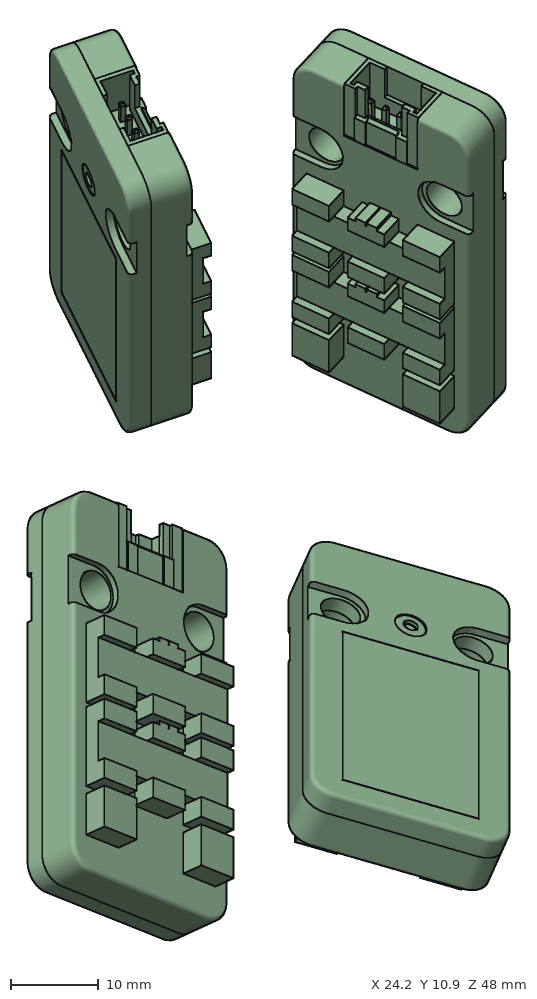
import cadquery as cq

HEIGHT = 48.0
WIDTH = 24.25
DEPTH = 7.95
SPLIT_Y = 2.8
CORNER_RADIUS = 3.0
EDGE_FILLET = 0.55

RECESS_X = 8.15
LEFT_HOLE_X = -8.15
RIGHT_HOLE_X = 7.85
MOUNT_Z = 12.2
MOUNT_DIAMETER = 4.8
RECESS_RADIUS = 3.0
FRONT_RECESS_DEPTH = 0.95
BACK_RECESS_DEPTH = 0.8

HEAD_RADIUS = 1.9
HEAD_FILLET = 0.35
HEAD_LENGTH = 2.0
SHANK_RADIUS = 1.0
SHANK_END_Y = 5.75
SOCKET_RADIUS = 0.85
SOCKET_DEPTH = 0.5
SOCKET_CONE_RADIUS = 0.7
SOCKET_CONE_DEPTH = 0.7

LABEL_WIDTH = 16.5
LABEL_HEIGHT = 28.05
LABEL_CENTER_Z = -6.65
LABEL_THICKNESS = 0.25
LABEL_RECESS_DEPTH = 0.3

BLOCK_RISE = 3.0
CHANNEL_RISE = 2.0
BLOCK_OUTER_X = 10.1
BLOCK_INNER_X = 5.05
CENTER_HALF_WIDTH = 2.5
RIB_HALF_WIDTH = 1.45
RIB_STEP = 0.5
RIB_GAP = 0.15
TILE_HEIGHT = 10.0
TILE_CHANNEL = 5.0
TILE_CENTERS_Z = [2.05, -8.5]
LOW_BLOCK_HEIGHT = 5.2
LOW_BLOCK_CENTER_Z = -17.05

TOP_Z = HEIGHT / 2
OPENING_HALF_WIDTH = 5.05
CONNECTOR_DEPTH = 8.15
CONNECTOR_BACK_Y = 7.8
CAVITY_HALF_WIDTH = 4.5
CAVITY_FRONT_Y = 3.3
CAVITY_BACK_Y = 6.7
CAVITY_DEPTH = 6.7
KEY_SLOT_WIDTH = 0.5
KEY_SLOT_BACK_Y = 7.35
NOTCH_HALF_WIDTH = 2.5
NOTCH_DEPTH = 4.5
STEP_HALF_WIDTH = 3.55
RAMP_HALF_WIDTH = 2.05
RAMP_HEIGHT = 0.4

PIN_PITCH = 2.0
PIN_COUNT = 4
PIN_WIDTH = 0.6
PIN_Y = 5.4
PIN_TOP_DROP = 3.35
PIN_TIP_WIDTH = 0.2
PIN_TIP_LENGTH = 0.4


def box(x_range, y_range, z_range):
    """A box given by its limits along each axis."""
    (x0, x1), (y0, y1), (z0, z1) = x_range, y_range, z_range
    return cq.Workplane("XY").box(x1 - x0, y1 - y0, z1 - z0, centered=False).translate((x0, y0, z0))


def centered_box(half_width, y_range, z_range):
    """A box that is symmetric about X = 0."""
    return box((-half_width, half_width), y_range, z_range)


def span(center, length):
    return (center - length / 2, center + length / 2)


def cylinder(radius, y_range, x=0.0, z=MOUNT_Z):
    """A cylinder along Y."""
    y0, y1 = y_range
    return cq.Workplane(cq.Solid.makeCylinder(radius, y1 - y0, cq.Vector(x, y0, z), cq.Vector(0, 1, 0)))


def rounded_slab(y_range):
    """A layer of the housing with its four rounded corners."""
    slab = centered_box(WIDTH / 2, y_range, (-HEIGHT / 2, HEIGHT / 2))
    return slab.edges("|Y").fillet(CORNER_RADIUS)


def side_recess(side, y_range):
    """Recess round one mounting hole, running out through the long side."""
    x_round = side * RECESS_X
    x_range = sorted((x_round, side * WIDTH / 2))
    channel = box(x_range, y_range, span(MOUNT_Z, 2 * RECESS_RADIUS))
    return channel.union(cylinder(RECESS_RADIUS, y_range, x_round))


def cut_mountings(cover, recess_range):
    for side in (-1, 1):
        cover = cover.cut(side_recess(side, recess_range))
    for x_hole in (LEFT_HOLE_X, RIGHT_HOLE_X):
        cover = cover.cut(cylinder(MOUNT_DIAMETER / 2, (0, DEPTH), x_hole))
    return cover


def screw_space():
    """The room that the screw takes up, before its head is rounded and its socket cut."""
    return cylinder(HEAD_RADIUS, (0, HEAD_LENGTH)).union(cylinder(SHANK_RADIUS, (0, SHANK_END_Y)))


def label_box(y_range):
    return centered_box(LABEL_WIDTH / 2, y_range, span(LABEL_CENTER_Z, LABEL_HEIGHT))


def make_front_cover():
    cover = rounded_slab((0, SPLIT_Y)).faces("<Y").edges().fillet(EDGE_FILLET)
    cover = cut_mountings(cover, (0, FRONT_RECESS_DEPTH))
    return cover.cut(screw_space()).cut(label_box((0, LABEL_RECESS_DEPTH)))


def make_side_column(side):
    """The tall blocks along one side of the back face: two notched tiles and a short block."""
    x_range = sorted((side * BLOCK_INNER_X, side * BLOCK_OUTER_X))
    tall = (DEPTH, DEPTH + BLOCK_RISE)
    column = box(x_range, tall, span(LOW_BLOCK_CENTER_Z, LOW_BLOCK_HEIGHT))
    for z in TILE_CENTERS_Z:
        column = column.union(box(x_range, tall, span(z, TILE_HEIGHT)))
    return column


def make_back_blocks():
    """All raised blocks: side columns, middle blocks with two ribs, and low bridges between them."""
    tall = (DEPTH, DEPTH + BLOCK_RISE)
    blocks = make_side_column(-1).union(make_side_column(1))
    for z in TILE_CENTERS_Z:
        z_bottom, z_top = span(z, TILE_HEIGHT)
        blocks = blocks.union(centered_box(CENTER_HALF_WIDTH, tall, (z_bottom, z_top - RIB_STEP)))
        blocks = blocks.union(centered_box(RIB_HALF_WIDTH, tall, (z_bottom, z_top)))
        blocks = blocks.cut(centered_box(RIB_GAP / 2, tall, (z_top - RIB_STEP, z_top)))
    for z in TILE_CENTERS_Z:
        channel = span(z, TILE_CHANNEL)
        blocks = blocks.cut(centered_box(BLOCK_OUTER_X, (DEPTH + CHANNEL_RISE, DEPTH + BLOCK_RISE), channel))
        blocks = blocks.union(centered_box(BLOCK_INNER_X, (DEPTH, DEPTH + CHANNEL_RISE), channel))
    return blocks


def make_back_cover():
    cover = rounded_slab((SPLIT_Y, DEPTH)).faces(">Y").edges().fillet(EDGE_FILLET)
    cover = cut_mountings(cover, (DEPTH - BACK_RECESS_DEPTH, DEPTH))
    cover = cover.cut(screw_space())
    cover = cover.cut(centered_box(OPENING_HALF_WIDTH, (SPLIT_Y, DEPTH), (TOP_Z - CONNECTOR_DEPTH, TOP_Z)))
    return cover.union(make_back_blocks())


def make_screw():
    screw = screw_space().faces("<Y").edges().fillet(HEAD_FILLET)
    screw = screw.cut(cylinder(SOCKET_RADIUS, (0, SOCKET_DEPTH)))
    tip = cq.Solid.makeCone(
        SOCKET_CONE_RADIUS, 0, SOCKET_CONE_DEPTH, cq.Vector(0, SOCKET_DEPTH, MOUNT_Z), cq.Vector(0, 1, 0)
    )
    return screw.cut(cq.Workplane(tip))


def make_label():
    return label_box((LABEL_RECESS_DEPTH - LABEL_THICKNESS, LABEL_RECESS_DEPTH))


def make_pin(x):
    """A square pin with a tapered tip, standing on the floor of the connector cavity."""
    length = CAVITY_DEPTH - PIN_TOP_DROP - PIN_TIP_LENGTH
    pin = cq.Workplane("XY").box(PIN_WIDTH, PIN_WIDTH, length, centered=(True, True, False))
    tip = (
        cq.Workplane("XY", origin=(0, 0, length))
        .rect(PIN_WIDTH, PIN_WIDTH)
        .workplane(offset=PIN_TIP_LENGTH)
        .rect(PIN_TIP_WIDTH, PIN_TIP_WIDTH)
        .loft()
    )
    return pin.union(tip).translate((x, PIN_Y, TOP_Z - CAVITY_DEPTH))


def make_connector():
    floor_z = TOP_Z - CAVITY_DEPTH
    notch_z = TOP_Z - NOTCH_DEPTH
    body = centered_box(OPENING_HALF_WIDTH, (SPLIT_Y, CONNECTOR_BACK_Y), (TOP_Z - CONNECTOR_DEPTH, TOP_Z))
    body = body.cut(centered_box(CAVITY_HALF_WIDTH, (CAVITY_FRONT_Y, CAVITY_BACK_Y), (floor_z, TOP_Z)))
    for side in (-1, 1):
        x_range = sorted((side * CAVITY_HALF_WIDTH, side * (CAVITY_HALF_WIDTH - KEY_SLOT_WIDTH)))
        body = body.cut(box(x_range, (CAVITY_FRONT_Y, KEY_SLOT_BACK_Y), (floor_z, TOP_Z)))
    body = body.cut(centered_box(NOTCH_HALF_WIDTH, (SPLIT_Y, CONNECTOR_BACK_Y), (notch_z, TOP_Z)))
    body = body.cut(centered_box(STEP_HALF_WIDTH, (KEY_SLOT_BACK_Y, CONNECTOR_BACK_Y), (notch_z, TOP_Z)))
    ramp = (
        cq.Workplane("YZ", origin=(-RAMP_HALF_WIDTH, 0, 0))
        .moveTo(KEY_SLOT_BACK_Y, notch_z)
        .lineTo(CONNECTOR_BACK_Y, notch_z)
        .lineTo(KEY_SLOT_BACK_Y, notch_z + RAMP_HEIGHT)
        .close()
        .extrude(2 * RAMP_HALF_WIDTH)
    )
    body = body.union(ramp)
    for side in (-1, 1):
        x_range = sorted((side * RAMP_HALF_WIDTH, side * STEP_HALF_WIDTH))
        body = body.union(box(x_range, (KEY_SLOT_BACK_Y, DEPTH), (TOP_Z - CONNECTOR_DEPTH, notch_z)))
    return body


front_cover = make_front_cover()
back_cover = make_back_cover()
screw = make_screw()
label = make_label()
connector = make_connector()
pins = [make_pin((i - (PIN_COUNT - 1) / 2) * PIN_PITCH) for i in range(PIN_COUNT)]

result = cq.Compound.makeCompound(
    [
        front_cover.val(),
        back_cover.val(),
        screw.val(),
        label.val(),
        connector.val(),
        *[pin.val() for pin in pins],
    ]
)